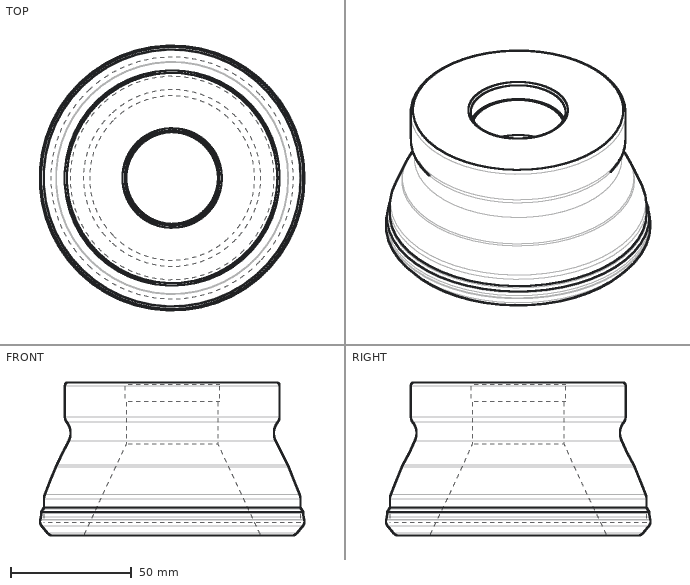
import cadquery as cq
import math

total_height = 63.5
ring_top = 11.7
seat_height = 5.5

skirt_radius = 53.2
skirt_round = 5.0
lower_cone_base = 17.0
lower_cone_angle = math.radians(21.8)
upper_cone_angle = math.radians(26.6)
cone_blend_bottom = 28.5
cone_blend_height = 0.8
cove_bottom = 39.1
cove_round = 7.3
collar_radius = 44.5
collar_under_round = 3.2
collar_edge_width = 1.0
collar_edge_height = 1.5

bore_radius = 19.0
mouth_radius = 19.6
mouth_depth = 7.9
mouth_chamfer = 1.0
flare_top = 37.9
flare_angle = math.radians(25)

rim_radius = 54.8
rim_round = 3.0
rim_round_top = 6.5
lower_band_angle = math.radians(11)
upper_band_angle = math.radians(8)
bevel_angle = math.radians(40)
bevel_bottom = 1.2
foot_width = 1.6
lip_width = 0.3
lip_height = 0.7
shoulder_radius = 54.3
shoulder_height = 9.8
shoulder_bulge = 0.07
upper_band_top = 9.2
band_edge_height = 7.8
lower_band_bottom = 6.8
band_ledge = 0.1


def arc_point(center, radius, angle):
    """Point of a circle in the radius-height plane."""
    return (center[0] + radius * math.cos(angle), center[1] + radius * math.sin(angle))


def flare_radius(height):
    """Inside radius of the flared opening, which runs on through the ring."""
    return bore_radius + (flare_top - height) * math.tan(flare_angle)


def make_housing():
    """Turned housing with its stepped and flared bore."""
    skirt_center = (
        skirt_radius - skirt_round,
        lower_cone_base - skirt_round * math.sin(lower_cone_angle),
    )
    lower_cone_start = arc_point(skirt_center, skirt_round, lower_cone_angle)
    lower_cone_end = (
        lower_cone_start[0] - (cone_blend_bottom - lower_cone_base) * math.tan(lower_cone_angle),
        cone_blend_bottom,
    )
    blend_angle = (lower_cone_angle + upper_cone_angle) / 2
    upper_cone_start = (
        lower_cone_end[0] - cone_blend_height * math.tan(blend_angle),
        cone_blend_bottom + cone_blend_height,
    )
    upper_cone_end = (
        upper_cone_start[0] - (cove_bottom - upper_cone_start[1]) * math.tan(upper_cone_angle),
        cove_bottom,
    )
    cove_center = arc_point(upper_cone_end, cove_round, upper_cone_angle)
    under_center_radius = collar_radius - collar_under_round
    center_distance = cove_round + collar_under_round
    turn = math.acos((cove_center[0] - under_center_radius) / center_distance)
    under_center = (under_center_radius, cove_center[1] + center_distance * math.sin(turn))
    cove_end = arc_point(under_center, collar_under_round, -turn)
    neck = (cove_center[0] - cove_round, cove_center[1])

    mouth_bottom = total_height - mouth_depth
    profile = (
        cq.Workplane("XZ")
        .moveTo(flare_radius(seat_height), seat_height)
        .lineTo(skirt_radius, seat_height)
        .lineTo(skirt_radius, skirt_center[1])
        .tangentArcPoint(lower_cone_start, relative=False)
        .lineTo(*lower_cone_end)
        .tangentArcPoint(upper_cone_start, relative=False)
        .lineTo(*upper_cone_end)
        .threePointArc(neck, cove_end)
        .threePointArc(
            arc_point(under_center, collar_under_round, -turn / 2),
            (collar_radius, under_center[1]),
        )
        .lineTo(collar_radius, total_height - collar_edge_height)
        .tangentArcPoint((collar_radius - collar_edge_width, total_height), relative=False)
        .lineTo(mouth_radius + mouth_chamfer, total_height)
        .lineTo(mouth_radius, total_height - mouth_chamfer)
        .lineTo(mouth_radius, mouth_bottom)
        .lineTo(bore_radius, mouth_bottom)
        .lineTo(bore_radius, flare_top)
        .close()
    )
    return profile.revolve(360, axisStart=(0, 0, 0), axisEnd=(0, 1, 0))


def make_base_ring():
    """Turned ring that carries the housing in its recess."""
    rim_center = (rim_radius - rim_round, rim_round_top - rim_round * math.sin(lower_band_angle))
    rim_start = arc_point(rim_center, rim_round, -bevel_angle)
    rim_end = arc_point(rim_center, rim_round, lower_band_angle)
    bevel_start = (
        rim_start[0] - (rim_start[1] - bevel_bottom) * math.tan(bevel_angle),
        bevel_bottom,
    )
    lower_band = (rim_end[0] - band_ledge, lower_band_bottom)
    band_edge = (
        lower_band[0] - (band_edge_height - lower_band_bottom) * math.tan(lower_band_angle),
        band_edge_height,
    )
    upper_band = (
        band_edge[0] - (upper_band_top - band_edge_height) * math.tan(upper_band_angle),
        upper_band_top,
    )
    lip_bottom = (skirt_radius + lip_width, ring_top - lip_height)

    profile = (
        cq.Workplane("XZ")
        .moveTo(flare_radius(0), 0)
        .lineTo(flare_radius(seat_height), seat_height)
        .lineTo(skirt_radius, seat_height)
        .lineTo(skirt_radius, ring_top)
        .lineTo(*lip_bottom)
        .sagittaArc((shoulder_radius, shoulder_height), shoulder_bulge)
        .lineTo(*upper_band)
        .lineTo(*band_edge)
        .lineTo(*lower_band)
        .lineTo(*rim_end)
        .threePointArc((rim_radius, rim_center[1]), rim_start)
        .lineTo(*bevel_start)
        .tangentArcPoint((bevel_start[0] - foot_width, 0), relative=False)
        .close()
    )
    return profile.revolve(360, axisStart=(0, 0, 0), axisEnd=(0, 1, 0))


housing = make_housing()
base_ring = make_base_ring()
result = cq.Compound.makeCompound([housing.val(), base_ring.val()])